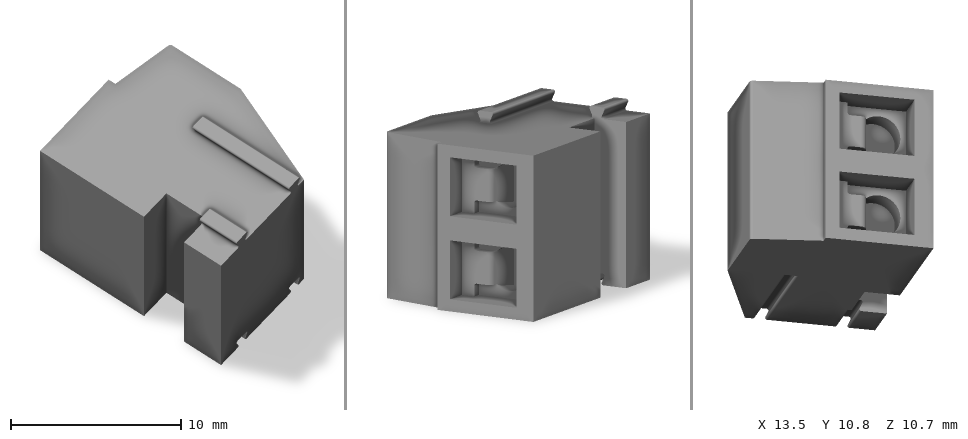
import cadquery as cq
import math

LENGTH = 13.5
DEPTH = 10.8
POLES = 2
PITCH = LENGTH / 2.7
BODY_HEIGHT = POLES * PITCH

LEDGE_Y = 6.55
LEDGE_WIDTH = 0.5
HEAD_X = 1.27
HEAD_CORNER_RADIUS = 0.2
RAMP_START_X = 6.52
RAMP_END_Y = 7.91
NOTCH_START_X = 7.75
NOTCH_END_X = 10.75
NOTCH_DEPTH = 2.15

DOVETAIL_HEIGHT = 0.7
DOVETAIL_TOP_HALF = 0.58
DOVETAIL_BASE_HALF = 0.25
DOVETAIL_RADIUS = 0.115
FRONT_RAIL_Y = 2.0
BACK_RAIL_Y = FRONT_RAIL_Y + PITCH
BACK_RAIL_X = 6.3
RAILS = [(NOTCH_END_X, FRONT_RAIL_Y), (BACK_RAIL_X, BACK_RAIL_Y)]

POCKET_FRONT_Y = 1.15
POCKET_BACK_Y = 5.7
POCKET_HEIGHT = 3.55
POCKET_END_X = 1.4
SHOULDER_X = 1.96
SHOULDER_BACK_Y = 4.85
WIRE_HOLE_Y = 2.81
WIRE_HOLE_RADIUS = 1.31
WIRE_HOLE_END_X = 3.24

TONGUE_HEIGHT = 1.97
TONGUE_NOSE_Y = 4.02
TONGUE_NOSE_RADIUS = 0.38
TONGUE_SLOPE_ANGLE = math.radians(75)
TONGUE_ROOT_RADIUS = 0.15


def make_housing():
    outline = [
        (0, 0),
        (NOTCH_START_X, 0),
        (NOTCH_START_X, NOTCH_DEPTH),
        (NOTCH_END_X, NOTCH_DEPTH),
        (NOTCH_END_X, 0),
        (LENGTH, 0),
        (LENGTH, RAMP_END_Y),
        (RAMP_START_X, DEPTH),
        (HEAD_X, DEPTH),
        (LEDGE_WIDTH, LEDGE_Y),
        (0, LEDGE_Y),
    ]
    housing = cq.Workplane("XY").polyline(outline).close().extrude(BODY_HEIGHT)
    head_corner = cq.selectors.NearestToPointSelector((HEAD_X, DEPTH, BODY_HEIGHT / 2))
    return housing.edges(head_corner).fillet(HEAD_CORNER_RADIUS)


def make_dovetail(start_x, center_y, base_z):
    """Dovetail bar with rounded lips and flared roots, running to the back of the block."""
    flank_angle = math.atan2(DOVETAIL_HEIGHT, DOVETAIL_TOP_HALF - DOVETAIL_BASE_HALF)
    tangent = DOVETAIL_RADIUS / math.tan(flank_angle / 2)
    lip_y = DOVETAIL_TOP_HALF - tangent
    lip_start = (lip_y, DOVETAIL_HEIGHT)
    lip_middle = (
        lip_y + DOVETAIL_RADIUS * math.cos(flank_angle / 2),
        DOVETAIL_HEIGHT - DOVETAIL_RADIUS * (1 - math.sin(flank_angle / 2)),
    )
    lip_end = (
        DOVETAIL_TOP_HALF - tangent * math.cos(flank_angle),
        DOVETAIL_HEIGHT - tangent * math.sin(flank_angle),
    )

    def root(point):
        return (DOVETAIL_TOP_HALF + DOVETAIL_BASE_HALF - point[0], DOVETAIL_HEIGHT - point[1])

    def opposite(point):
        return (-point[0], point[1])

    return (
        cq.Workplane("YZ", origin=(start_x, center_y, base_z))
        .moveTo(*lip_start)
        .threePointArc(lip_middle, lip_end)
        .lineTo(*root(lip_end))
        .threePointArc(root(lip_middle), root(lip_start))
        .lineTo(*opposite(root(lip_start)))
        .threePointArc(opposite(root(lip_middle)), opposite(root(lip_end)))
        .lineTo(*opposite(lip_end))
        .threePointArc(opposite(lip_middle), opposite(lip_start))
        .close()
        .extrude(LENGTH - start_x)
    )


def make_slab(x_range, y_range, height):
    """Box centred on Z = 0."""
    length = x_range[1] - x_range[0]
    width = y_range[1] - y_range[0]
    slab = cq.Workplane("XY").box(length, width, height, centered=(False, False, True))
    return slab.translate((x_range[0], y_range[0], 0))


def make_tongue(height):
    """Tongue that fills the pocket behind its nose to the end of the wire hole, centred on Z = 0."""
    def nose_point(angle):
        return (
            POCKET_END_X + TONGUE_NOSE_RADIUS * (1 - math.cos(angle)),
            TONGUE_NOSE_Y - TONGUE_NOSE_RADIUS * math.sin(angle),
        )

    slope_start = nose_point(TONGUE_SLOPE_ANGLE)
    slope_drop = (WIRE_HOLE_END_X - slope_start[0]) / math.tan(TONGUE_SLOPE_ANGLE)
    return (
        cq.Workplane("XY")
        .moveTo(POCKET_END_X, POCKET_BACK_Y)
        .lineTo(POCKET_END_X, TONGUE_NOSE_Y)
        .threePointArc(nose_point(TONGUE_SLOPE_ANGLE / 2), slope_start)
        .lineTo(WIRE_HOLE_END_X, slope_start[1] - slope_drop)
        .lineTo(WIRE_HOLE_END_X, POCKET_BACK_Y)
        .close()
        .extrude(height / 2, both=True)
    )


def make_wire_entry():
    """Space removed for one pole, centred on Z = 0."""
    pocket = make_slab((0, POCKET_END_X), (POCKET_FRONT_Y, POCKET_BACK_Y), POCKET_HEIGHT)
    shoulder = make_slab((POCKET_END_X, SHOULDER_X), (POCKET_FRONT_Y, SHOULDER_BACK_Y), POCKET_HEIGHT)
    shoulder = shoulder.cut(make_tongue(TONGUE_HEIGHT))
    for side in (-1, 1):
        root_edge = ((POCKET_END_X + SHOULDER_X) / 2, SHOULDER_BACK_Y, side * TONGUE_HEIGHT / 2)
        shoulder = shoulder.edges(cq.selectors.NearestToPointSelector(root_edge)).fillet(TONGUE_ROOT_RADIUS)
    wire_hole = (
        cq.Workplane("YZ", origin=(SHOULDER_X, WIRE_HOLE_Y, 0))
        .circle(WIRE_HOLE_RADIUS)
        .extrude(WIRE_HOLE_END_X - SHOULDER_X)
        .cut(make_tongue(POCKET_HEIGHT))
    )
    return pocket.union(shoulder).union(wire_hole)


result = make_housing()
for pole in range(POLES):
    result = result.cut(make_wire_entry().translate((0, 0, (pole + 0.5) * PITCH)))
for rail_x, rail_y in RAILS:
    result = result.cut(make_dovetail(rail_x, rail_y, 0))
    result = result.union(make_dovetail(rail_x, rail_y, BODY_HEIGHT))